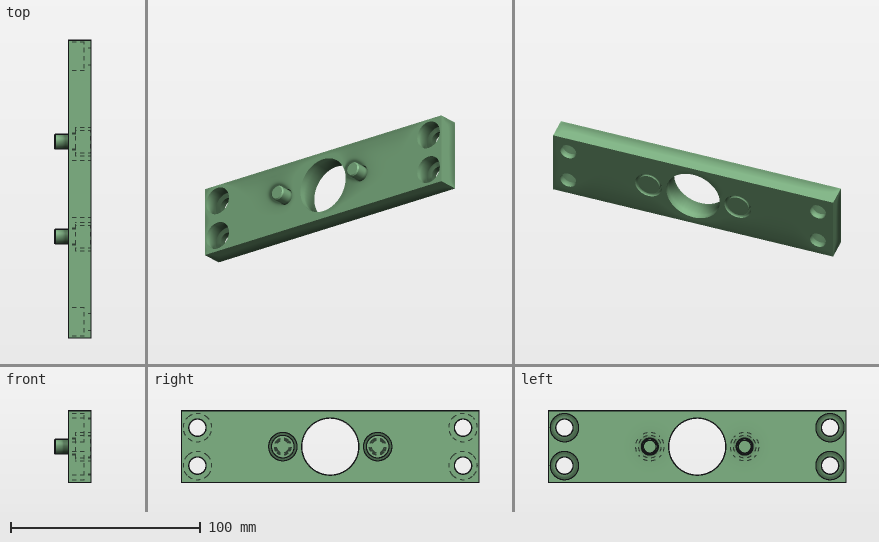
import cadquery as cq

plate_thickness = 12.0
plate_length = 157.0
plate_height = 38.0

center_bore_diameter = 30.0

clearance_diameter = 9.0
counterbore_diameter = 15.0
counterbore_depth = 8.3
web_thickness = plate_thickness - counterbore_depth

corner_spacing_y = 140.0
corner_spacing_z = 20.0
corner_positions = [
    (side_y * corner_spacing_y / 2, side_z * corner_spacing_z / 2)
    for side_y in (-1, 1)
    for side_z in (-1, 1)
]

screw_spacing = 50.0
screw_positions = [(-screw_spacing / 2, 0), (screw_spacing / 2, 0)]
shank_diameter = 7.94
shank_projection = 7.41
shank_tip_chamfer = 0.64
head_diameter = 11.91
head_height = 7.94


def cylinder_along_x(diameter, x_start, length, position):
    """Cylinder running in +X from x_start, centred on a (y, z) position."""
    y, z = position
    return (
        cq.Workplane("YZ", origin=(x_start, y, z))
        .circle(diameter / 2)
        .extrude(length)
    )


def counterbored_hole(position, counterbore_start):
    """Cutter for a through hole with a counterbore starting at the given X."""
    through_hole = cylinder_along_x(clearance_diameter, 0, plate_thickness, position)
    counterbore = cylinder_along_x(
        counterbore_diameter, counterbore_start, counterbore_depth, position
    )
    return through_hole.union(counterbore)


def make_plate():
    """Rectangular plate with its center bore and counterbored holes."""
    plate = cq.Workplane("XY").box(
        plate_thickness, plate_length, plate_height, centered=(False, True, True)
    )
    plate = plate.cut(cylinder_along_x(center_bore_diameter, 0, plate_thickness, (0, 0)))

    for position in corner_positions:
        plate = plate.cut(counterbored_hole(position, 0))

    for position in screw_positions:
        plate = plate.cut(counterbored_hole(position, web_thickness))
    return plate


def make_screw(position):
    """Cap screw with its head seated on the floor of the rear counterbore."""
    shank_length = shank_projection + web_thickness
    shank = (
        cylinder_along_x(shank_diameter, -shank_projection, shank_length, position)
        .faces("<X")
        .chamfer(shank_tip_chamfer)
    )
    head = cylinder_along_x(head_diameter, web_thickness, head_height, position)
    return shank.union(head)


plate = make_plate()
screws = [make_screw(position) for position in screw_positions]

result = cq.Compound.makeCompound([plate.val(), *[screw.val() for screw in screws]])